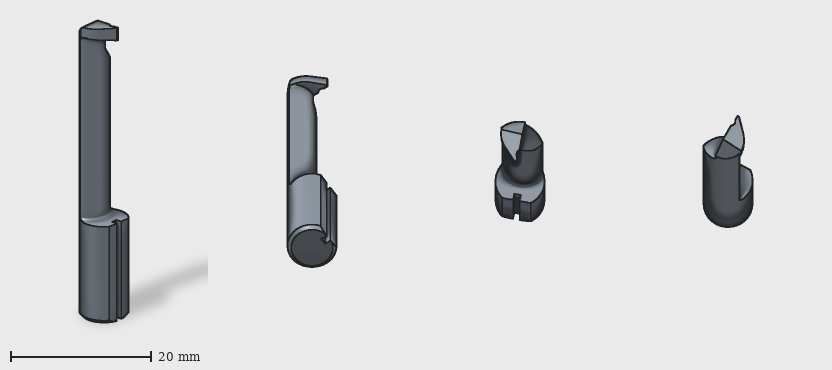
import cadquery as cq
import math

total_length = 45.0
shank_radius = 3.5
flat_x = 2.85
shank_length = 15.0
end_chamfer = 0.55
keyway_width = 0.95
keyway_depth = 0.9

neck_radius = 3.05
neck_front_x = 0.2
neck_center_x = neck_front_x - neck_radius
foot_fillet = 0.8
head_root_fillet = 0.2

head_thickness = 1.95
head_bottom = total_length - head_thickness
rake_y = 0.1
head_back_y = -3.0
side_relief = 0.2
tip_x = 2.7
tip_rake_y = -0.05
tip_heel_y = -0.3
breaker_start_x = 1.05
breaker_bottom = (1.35, -0.2)
breaker_end_x = 2.0
flank_end = (1.05, -1.9)
back_arc_middle = (-0.4, -2.8)
head_back_x = -1.85
back_chamfer = 2.2

slope_start_z = 40.95
slope_angle = math.radians(50)
slope_fillet = 0.9
relief_reach = 2 * shank_radius


def make_shank():
    shank = cq.Workplane("XY").circle(shank_radius).extrude(shank_length)
    shank = shank.faces("<Z").chamfer(end_chamfer)
    flat_cutter = cq.Workplane("XY").box(
        shank_radius, 2 * shank_radius, shank_length, centered=(False, True, False)
    ).translate((flat_x, 0, 0))
    keyway = cq.Workplane("XY").box(
        keyway_depth, keyway_width, shank_length, centered=(False, True, False)
    ).translate((flat_x - keyway_depth, 0, 0))
    return shank.cut(flat_cutter).cut(keyway)


def make_flared_bar(start_z, end_z, fillet):
    """Offset cylinder of the neck, flaring through a concave fillet at start_z."""
    direction = math.copysign(1, end_z - start_z)
    arc_offset = fillet * (1 - math.sqrt(0.5))
    return (
        cq.Workplane("XZ")
        .moveTo(0, start_z)
        .lineTo(neck_radius + fillet, start_z)
        .threePointArc(
            (neck_radius + arc_offset, start_z + direction * arc_offset),
            (neck_radius, start_z + direction * fillet),
        )
        .lineTo(neck_radius, end_z)
        .lineTo(0, end_z)
        .close()
        .revolve(360, (0, 0, 0), (0, 1, 0))
        .translate((neck_center_x, 0, 0))
    )


def make_neck():
    """Flared offset cylinder trimmed to the shank diameter."""
    envelope = cq.Workplane("XY").circle(shank_radius).extrude(total_length)
    return make_flared_bar(shank_length, total_length, foot_fillet).intersect(envelope)


def extrude_head_outline(bottom_z):
    """Hooked outline with a hollow chip breaker in its rake face."""
    return (
        cq.Workplane("XY")
        .workplane(offset=bottom_z)
        .moveTo(neck_center_x, rake_y)
        .lineTo(breaker_start_x, rake_y)
        .threePointArc(breaker_bottom, (breaker_end_x, tip_rake_y))
        .lineTo(tip_x, tip_rake_y)
        .lineTo(tip_x, tip_heel_y)
        .lineTo(*flank_end)
        .threePointArc(back_arc_middle, (head_back_x, head_back_y))
        .close()
        .extrude(total_length - bottom_z)
    )


def make_head():
    """Relieved head with a small fillet where its underside meets the neck."""
    head = extrude_head_outline(head_bottom).cut(make_side_relief(head_bottom, side_relief))
    root = make_flared_bar(head_bottom + side_relief, shank_length, head_root_fillet + side_relief)
    root_zone = extrude_head_outline(head_bottom - head_root_fillet)
    return head.union(root.intersect(root_zone))


def make_side_relief(z, drop):
    """Wedge that tapers one side of the head from the rake face to its back."""
    back_y = -shank_radius
    back_drop = drop * (rake_y - back_y) / (rake_y - head_back_y)
    return (
        cq.Workplane("YZ")
        .polyline([(rake_y, z), (back_y, z), (back_y, z + back_drop)])
        .close()
        .extrude(shank_radius, both=True)
    )


def make_rake_cutter():
    slope_end_z = slope_start_z - relief_reach * math.tan(slope_angle)
    cutter = (
        cq.Workplane("YZ")
        .polyline([
            (rake_y, total_length),
            (rake_y, slope_start_z),
            (rake_y + relief_reach, slope_end_z),
            (rake_y + relief_reach, total_length),
        ])
        .close()
        .extrude(2 * shank_radius, both=True)
    )
    root = cq.selectors.NearestToPointSelector((0, rake_y, slope_start_z))
    return cutter.edges("|X").edges(root).fillet(slope_fillet)


def make_back_chamfer_cutter():
    return (
        cq.Workplane("XZ")
        .polyline([
            (-shank_radius, total_length),
            (-shank_radius + back_chamfer, total_length),
            (-shank_radius, total_length - back_chamfer),
        ])
        .close()
        .extrude(shank_radius, both=True)
    )


result = make_shank().union(make_neck()).union(make_head())
result = result.cut(make_side_relief(total_length, -side_relief))
result = result.cut(make_rake_cutter()).cut(make_back_chamfer_cutter())